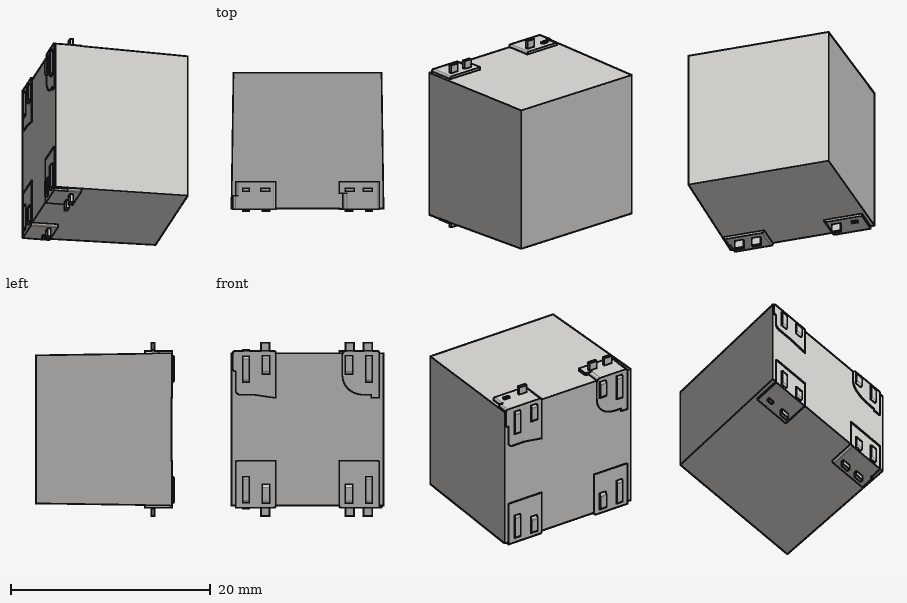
import cadquery as cq

FRONT_SIDE = 15.24
BACK_SIDE = 14.84
DEPTH = 13.6

PAD_RAISE = 0.07
FLAP_Z = 7.85
EMBED = 0.3
FLAP_DEPTH = 2.68
CLIP_INNER_X = 3.16
CLIP_OUTER_X = 7.19
CLIP_EDGE_Z = 3.14
CORNER_R = 0.23
PAD_NICK = 0.07
PAD_NICK_WIDTH = 0.2

WIDE_OUTER_X = 7.48
LEFT_WIDE_DEPTH = 1.275
LEFT_STEP_Z = 5.82
LEFT_HEEL_R = 0.5
UPPER_EDGE_Z = 3.44
LEFT_SLOPE_X = -5.2

NOTCH_X = 3.48
NOTCH_DEPTH = 1.51
NOTCH_R = 0.43
SWEEP_TOP_Z = 5.6
SWEEP_MIDDLE = (4.24, 3.91)
SWEEP_END_X = 5.9
TOE_X = 6.4
TOE_R = 0.1

PIN_TIP_Z = 17.35 / 2
STUB_TIP_Z = 7.965
PIN_Y = 1.875
PIN_THICKNESS = 0.31
PIN_WIDTH = 0.88
INNER_PIN_X = 4.235
OUTER_PIN_X = 6.04
STUB_X = -6.145
STUB_WIDTH = 0.66

RIB_RAISE = 0.18
RIB_END = 0.23
SHORT_RIB_INNER_END = 0.3
LONG_RIB_X = 6.15
LONG_RIB_WIDTH = 0.66
SHORT_RIB_X = 4.155
SHORT_RIB_WIDTH = 0.73
LONG_RIB_INNER_Z = 4.72
SHORT_RIB_INNER_Z = 5.515
RIB_OUTER_Z = 7.39
LEFT_LONG_RIB_OUTER_Z = 7.32

TOP = 1
BOTTOM = -1


def box(x_range, y_range, z_range):
    """Box between two limits along each axis, given in either order."""
    x0, x1 = sorted(x_range)
    y0, y1 = sorted(y_range)
    z0, z1 = sorted(z_range)
    return cq.Workplane("XY").box(x1 - x0, y1 - y0, z1 - z0, centered=False).translate((x0, y0, z0))


def round_corner(body, x, z, radius):
    """Fillet the edge parallel to Y that lies nearest (x, z)."""
    y_middle = body.val().BoundingBox().center.y
    return body.edges("|Y").edges(cq.NearestToPointSelector((x, y_middle, z))).fillet(radius)


def front_plate(outline):
    """Extrude an XZ outline from the raised pad surface into the housing."""
    return outline.close().extrude(-(PAD_RAISE + EMBED)).translate((0, -PAD_RAISE, 0))


def housing():
    return (
        cq.Workplane("XZ")
        .rect(FRONT_SIDE, FRONT_SIDE)
        .workplane(offset=-DEPTH)
        .rect(BACK_SIDE, BACK_SIDE)
        .loft(ruled=True)
    )


def flap(x_range, y_range, side, rounded):
    """Flap piece on the top or bottom face; rounded lists (x, radius) of its outer corners."""
    z_outer = side * FLAP_Z
    body = box(x_range, y_range, (side * (FRONT_SIDE / 2 - EMBED), z_outer))
    for x, radius in rounded:
        body = round_corner(body, x, z_outer, radius)
    return body


def top_left_clip():
    pad = front_plate(
        cq.Workplane("XZ")
        .moveTo(-WIDE_OUTER_X, FLAP_Z)
        .lineTo(-CLIP_INNER_X, FLAP_Z)
        .lineTo(-CLIP_INNER_X, CLIP_EDGE_Z)
        .lineTo(LEFT_SLOPE_X, UPPER_EDGE_Z)
        .lineTo(-CLIP_OUTER_X, UPPER_EDGE_Z)
        .lineTo(-CLIP_OUTER_X, LEFT_STEP_Z)
        .lineTo(-WIDE_OUTER_X, LEFT_STEP_Z)
    )
    pad = round_corner(pad, -WIDE_OUTER_X, FLAP_Z, CORNER_R)
    pad = round_corner(pad, -CLIP_INNER_X, FLAP_Z, CORNER_R)
    pad = round_corner(pad, -WIDE_OUTER_X, LEFT_STEP_Z, CORNER_R)
    pad = round_corner(pad, -CLIP_OUTER_X, UPPER_EDGE_Z, LEFT_HEEL_R)
    inner_corner = (-CLIP_INNER_X, CORNER_R)
    wide = flap(
        (-WIDE_OUTER_X, -CLIP_INNER_X), (0, LEFT_WIDE_DEPTH), TOP,
        [inner_corner, (-WIDE_OUTER_X, CORNER_R)],
    )
    narrow = flap(
        (-CLIP_OUTER_X, -CLIP_INNER_X), (LEFT_WIDE_DEPTH, FLAP_DEPTH), TOP,
        [inner_corner, (-CLIP_OUTER_X, CORNER_R)],
    )
    return [pad, wide, narrow]


def top_right_clip():
    pad = front_plate(
        cq.Workplane("XZ")
        .moveTo(NOTCH_X, SWEEP_TOP_Z)
        .spline(
            [SWEEP_MIDDLE, (SWEEP_END_X, UPPER_EDGE_Z)],
            tangents=[(0, -1), (1, 0)],
            includeCurrent=True,
        )
        .lineTo(TOE_X, UPPER_EDGE_Z)
        .lineTo(TOE_X, CLIP_EDGE_Z)
        .lineTo(CLIP_OUTER_X, CLIP_EDGE_Z)
        .lineTo(CLIP_OUTER_X, FLAP_Z)
        .lineTo(NOTCH_X, FLAP_Z)
    )
    pad = round_corner(pad, CLIP_OUTER_X, CLIP_EDGE_Z, TOE_R)
    pad = round_corner(pad, CLIP_OUTER_X, FLAP_Z, CORNER_R)
    pad = round_corner(pad, NOTCH_X, FLAP_Z, NOTCH_R)
    outer_corner = (CLIP_OUTER_X, CORNER_R)
    notched = flap(
        (NOTCH_X, CLIP_OUTER_X), (0, NOTCH_DEPTH), TOP, [outer_corner, (NOTCH_X, NOTCH_R)]
    )
    full = flap((CLIP_INNER_X, CLIP_OUTER_X), (NOTCH_DEPTH, FLAP_DEPTH), TOP, [outer_corner])
    return [pad, notched, full]


def bottom_clip(hand):
    """Bottom clip on the left (hand = -1) or right (hand = 1)."""
    inner_x = hand * CLIP_INNER_X
    outer_x = hand * CLIP_OUTER_X
    pad = front_plate(
        cq.Workplane("XZ")
        .moveTo(inner_x, -FLAP_Z)
        .lineTo(inner_x, -CLIP_EDGE_Z)
        .lineTo(outer_x - hand * PAD_NICK_WIDTH, -CLIP_EDGE_Z)
        .lineTo(outer_x, -CLIP_EDGE_Z - PAD_NICK)
        .lineTo(outer_x, -FLAP_Z)
    )
    pad = round_corner(pad, inner_x, -FLAP_Z, CORNER_R)
    plate = flap((inner_x, outer_x), (0, FLAP_DEPTH), BOTTOM, [(inner_x, CORNER_R)])
    return [pad, plate]


def bottom_right_ear():
    """Rounded ear that widens the rear of the bottom right flap."""
    return flap(
        (CLIP_INNER_X + CORNER_R, WIDE_OUTER_X), (LEFT_WIDE_DEPTH, FLAP_DEPTH), BOTTOM,
        [(WIDE_OUTER_X, CORNER_R)],
    )


def pin(x, width, side, tip_z):
    half_width = width / 2
    half_thickness = PIN_THICKNESS / 2
    return box(
        (x - half_width, x + half_width),
        (PIN_Y - half_thickness, PIN_Y + half_thickness),
        (side * (FLAP_Z - EMBED), side * tip_z),
    )


def pins():
    made = []
    for side in (TOP, BOTTOM):
        for x in (-INNER_PIN_X, INNER_PIN_X, OUTER_PIN_X):
            made.append(pin(x, PIN_WIDTH, side, PIN_TIP_Z))
        made.append(pin(STUB_X, STUB_WIDTH, side, STUB_TIP_Z))
    return made


def end_radius(length):
    """Radius of an arc that leaves the rib crest tangentially and meets the pad after length."""
    return (length**2 + RIB_RAISE**2) / (2 * RIB_RAISE)


def rib(x, width, side, inner_z, outer_z, inner_length):
    """Rib with rounded ends, running along Z on the front of a pad."""
    base_y = -PAD_RAISE
    crest_y = base_y - RIB_RAISE
    upper_rib = (
        cq.Workplane("YZ")
        .moveTo(EMBED, inner_z)
        .lineTo(base_y, inner_z)
        .radiusArc((crest_y, inner_z + inner_length), end_radius(inner_length))
        .lineTo(crest_y, outer_z - RIB_END)
        .radiusArc((base_y, outer_z), end_radius(RIB_END))
        .lineTo(EMBED, outer_z)
        .close()
        .extrude(width / 2, both=True)
        .translate((x, 0, 0))
    )
    return upper_rib if side == TOP else upper_rib.mirror("XY")


def ribs():
    made = []
    for side in (TOP, BOTTOM):
        for hand, long_outer_z in ((-1, LEFT_LONG_RIB_OUTER_Z), (1, RIB_OUTER_Z)):
            long_x = hand * LONG_RIB_X
            short_x = hand * SHORT_RIB_X
            made.append(rib(long_x, LONG_RIB_WIDTH, side, LONG_RIB_INNER_Z, long_outer_z, RIB_END))
            made.append(
                rib(short_x, SHORT_RIB_WIDTH, side, SHORT_RIB_INNER_Z, RIB_OUTER_Z, SHORT_RIB_INNER_END)
            )
    return made


result = housing()
clips = top_left_clip() + top_right_clip() + bottom_clip(-1) + bottom_clip(1) + [bottom_right_ear()]
for piece in clips + pins() + ribs():
    result = result.union(piece)